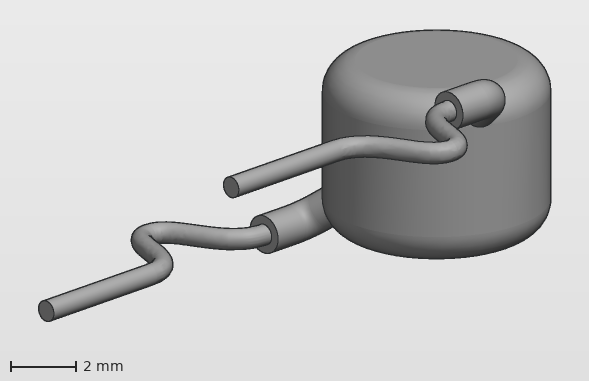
import cadquery as cq
import math


BODY_DIAMETER = 7.0
BODY_HEIGHT = 5.5
BODY_EDGE_RADIUS = 1.0

NECK_DIAMETER = 1.2
NECK_X = 3.96
NECK_Z = 3.04
NECK_STRAIGHT_LENGTH = 1.15
NECK_BEND_RADIUS = 0.92
NECK_BEND_ANGLE = 67.0
NECK_END_Y = -BODY_DIAMETER / 2

LEAD_DIAMETER = 0.66
OVERALL_LENGTH = 16.5
KINK_OFFSET = 2.5
KINK_LENGTH = 5.0
KINK_END_HANDLE = 1.73
KINK_PEAK_HANDLE = 1.15
LEAD_END_Y = BODY_DIAMETER / 2 - OVERALL_LENGTH

TURNS_ABOUT_Y = (0, 180)


def turned_about_y(shape, angle):
    return shape.rotate((0, 0, 0), (0, 1, 0), angle)


def neck():
    """Round bar from inside the body, through one bend, to the flat end facing -Y."""
    outward_distance = math.hypot(NECK_X, NECK_Z)
    outward = cq.Vector(NECK_X / outward_distance, 0, NECK_Z / outward_distance)
    bend_plane = cq.Plane(origin=(0, 0, 0), xDir=outward, normal=outward.cross(cq.Vector(0, 1, 0)))

    bend_centre_u = outward_distance - NECK_BEND_RADIUS
    bend_start_v = NECK_END_Y + NECK_STRAIGHT_LENGTH

    def bend_point(angle):
        return (
            bend_centre_u + NECK_BEND_RADIUS * math.cos(math.radians(angle)),
            bend_start_v + NECK_BEND_RADIUS * math.sin(math.radians(angle)),
        )

    bend_end_u, bend_end_v = bend_point(NECK_BEND_ANGLE)
    buried_u = bend_end_u / 2
    slope = math.tan(math.radians(90 - NECK_BEND_ANGLE))
    buried_v = bend_end_v + (bend_end_u - buried_u) * slope

    path = (
        cq.Workplane(bend_plane)
        .moveTo(outward_distance, NECK_END_Y)
        .lineTo(outward_distance, bend_start_v)
        .threePointArc(bend_point(NECK_BEND_ANGLE / 2), (bend_end_u, bend_end_v))
        .lineTo(buried_u, buried_v)
    )
    end_plane = cq.Plane(origin=(NECK_X, NECK_END_Y, NECK_Z), xDir=(1, 0, 0), normal=(0, 1, 0))
    return cq.Workplane(end_plane).circle(NECK_DIAMETER / 2).sweep(path)


def coated_body():
    """Cylinder with rounded rims, joined to its two necks."""
    body = (
        cq.Workplane("XY", origin=(0, 0, -BODY_HEIGHT / 2))
        .circle(BODY_DIAMETER / 2)
        .extrude(BODY_HEIGHT)
        .faces("|Z")
        .edges()
        .fillet(BODY_EDGE_RADIUS)
    )
    for angle in TURNS_ABOUT_Y:
        body = body.union(turned_about_y(neck(), angle))
    return body


def lead():
    """Round wire with an outward kink next to the neck and a straight tail along -Y."""
    peak_x = NECK_X + KINK_OFFSET
    peak_y = NECK_END_Y - KINK_LENGTH / 2
    kink_end_y = NECK_END_Y - KINK_LENGTH
    path = (
        cq.Workplane("XY", origin=(0, 0, NECK_Z))
        .moveTo(NECK_X, NECK_END_Y)
        .bezier(
            [
                (NECK_X, NECK_END_Y),
                (NECK_X, NECK_END_Y - KINK_END_HANDLE),
                (peak_x, peak_y + KINK_PEAK_HANDLE),
                (peak_x, peak_y),
            ]
        )
        .bezier(
            [
                (peak_x, peak_y),
                (peak_x, peak_y - KINK_PEAK_HANDLE),
                (NECK_X, kink_end_y + KINK_END_HANDLE),
                (NECK_X, kink_end_y),
            ]
        )
        .lineTo(NECK_X, LEAD_END_Y)
    )
    start_plane = cq.Plane(origin=(NECK_X, NECK_END_Y, NECK_Z), xDir=(1, 0, 0), normal=(0, -1, 0))
    return cq.Workplane(start_plane).circle(LEAD_DIAMETER / 2).sweep(path)


coating = coated_body()
leads = [turned_about_y(lead(), angle) for angle in TURNS_ABOUT_Y]

result = cq.Compound.makeCompound([coating.val(), *(wire.val() for wire in leads)])